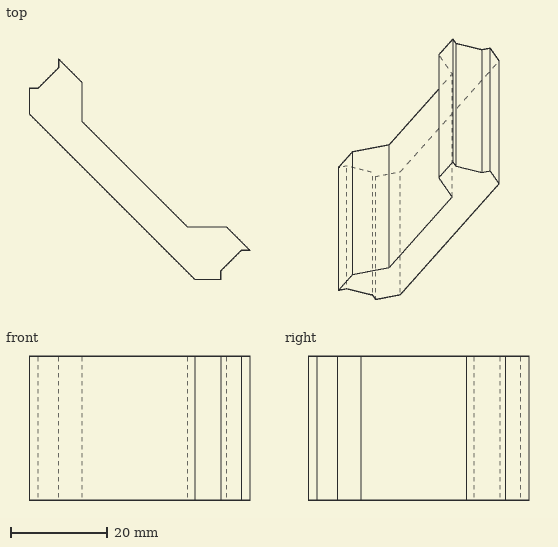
import cadquery as cq

SIDE = 45.9
HEIGHT = 30.0

OUTER_REACH = 34.42
INNER_REACH = 43.85

END_WIDTH = 10.95
CORNER_INSET = 6.05
LIP_DEPTH = 1.85

LIP_TIP = (CORNER_INSET, SIDE)
END_SHOULDER = (END_WIDTH, SIDE + CORNER_INSET - END_WIDTH)


def end_outline():
    """Points of the high-Y end, from the outer face round to the inner face."""
    seat_level = SIDE - CORNER_INSET
    return [
        (0, OUTER_REACH),
        (0, seat_level),
        (LIP_DEPTH, seat_level),
        (CORNER_INSET, SIDE - LIP_DEPTH),
        LIP_TIP,
        END_SHOULDER,
        (END_WIDTH, INNER_REACH - END_WIDTH),
    ]


def mirrored(points):
    """Reflect points across the line X = Y and reverse their order."""
    return [(y, x) for x, y in reversed(points)]


upper_end = end_outline()
result = (
    cq.Workplane("XY")
    .polyline(upper_end + mirrored(upper_end))
    .close()
    .extrude(HEIGHT)
)